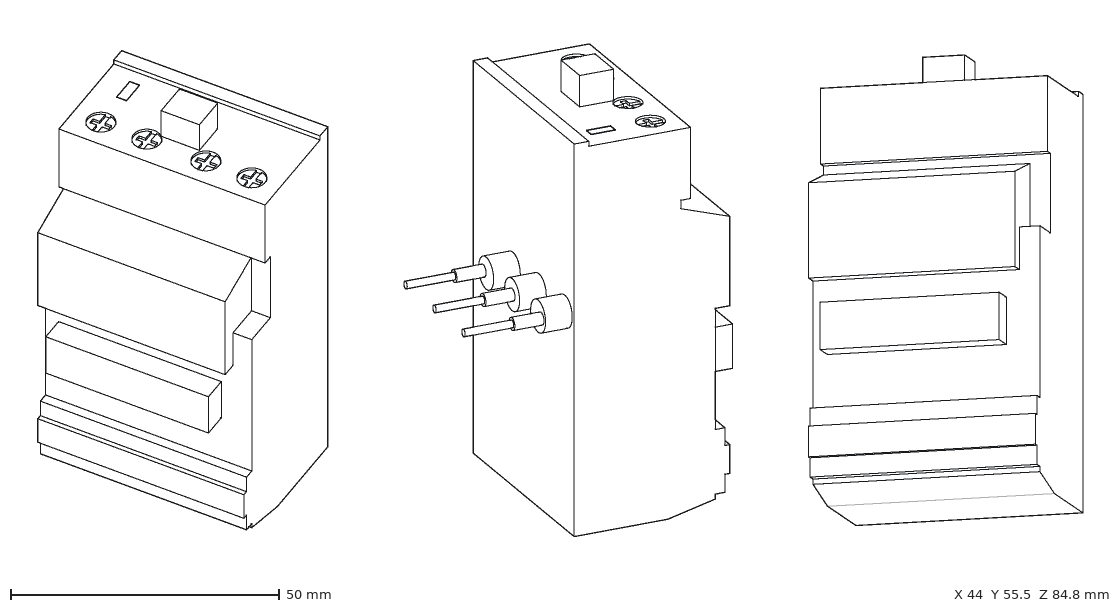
import cadquery as cq


WIDTH = 44.0
LEFT = -WIDTH / 2
OVERALL_DEPTH = 55.5
OVERALL_HEIGHT = 84.85

LIP_DEPTH = 3.0
HEAD_DEPTH = 24.0
NECK_DEPTH = 22.0
BODY_DEPTH = 29.1
STEP_DEPTH = 31.1
NOSE_DEPTH = 32.1
CHIN_DEPTH = 19.3

LIP_TOP = 79.5
DECK = 78.5
HEAD_BOTTOM = 64.1
HOOD_BACK_TOP = 62.4
HOOD_FRONT_TOP = 59.0
HOOD_BOTTOM = 40.9
SHOULDER = 49.0
STEP_TOP = 16.4
RIB_TOP = 12.8
RIB_BOTTOM = 6.95
STEP_BOTTOM = 3.3
CHIN_TOP = 2.3

HOOD_WIDTH = 40.0

BLOCK_LEFT = LEFT + 2.8
BLOCK_WIDTH = 34.7
BLOCK_BOTTOM = 26.8
BLOCK_HEIGHT = 9.0
BLOCK_DEPTH = 34.0

BUTTON_LEFT = LEFT + 17.65
BUTTON_WIDTH = 8.15
BUTTON_BACK = 9.5
BUTTON_LENGTH = 7.0

WINDOW_LEFT = LEFT + 5.0
WINDOW_WIDTH = 2.1
WINDOW_BACK = 5.85
WINDOW_LENGTH = 5.0
WINDOW_RECESS = 0.1

SCREW_OFFSETS = (6.3, 16.1)
SCREW_SETBACK = 18.5
SCREW_DIAMETER = 5.6
SCREW_RECESS = 0.5
CROSS_WIDTH = 1.15
CROSS_SPAN = 4.0
CROSS_DEPTH = 0.5

PIN_HEIGHT = 44.1
PIN_CENTER = -6.6
COLLAR_PITCH = 11.3
WIRE_PITCH = 12.6
COLLAR_DIAMETER = 6.5
SLEEVE_DIAMETER = 2.5
WIRE_DIAMETER = 1.5
COLLAR_END = 5.5
SLEEVE_END = 11.5
WIRE_END = OVERALL_DEPTH - BLOCK_DEPTH


def side_extrusion(points, width):
    """Extrude a (depth, height) outline along X from the left side."""
    outline = [(-depth, height) for depth, height in points]
    return cq.Workplane("YZ", origin=(LEFT, 0, 0)).polyline(outline).close().extrude(width)


def block(left, width, back, length, bottom, height):
    """Box placed by its left side, its setback from the back face and its bottom."""
    corner = (left, -back - length, bottom)
    return cq.Workplane("XY", origin=corner).box(width, length, height, centered=False)


def make_housing():
    return side_extrusion(
        [
            (0, 0),
            (0, LIP_TOP),
            (LIP_DEPTH, LIP_TOP),
            (LIP_DEPTH, DECK),
            (HEAD_DEPTH, DECK),
            (HEAD_DEPTH, HEAD_BOTTOM),
            (NECK_DEPTH, HEAD_BOTTOM),
            (NECK_DEPTH, SHOULDER),
            (BODY_DEPTH, SHOULDER),
            (BODY_DEPTH, STEP_TOP),
            (STEP_DEPTH, STEP_TOP),
            (STEP_DEPTH, RIB_TOP),
            (NOSE_DEPTH, RIB_TOP),
            (NOSE_DEPTH, RIB_BOTTOM),
            (STEP_DEPTH, RIB_BOTTOM),
            (STEP_DEPTH, STEP_BOTTOM),
            (BODY_DEPTH, STEP_BOTTOM),
            (BODY_DEPTH, CHIN_TOP),
            (CHIN_DEPTH, 0),
        ],
        WIDTH,
    )


def make_hood():
    return side_extrusion(
        [
            (NECK_DEPTH, HOOD_BOTTOM),
            (NECK_DEPTH, HOOD_BACK_TOP),
            (NOSE_DEPTH, HOOD_FRONT_TOP),
            (NOSE_DEPTH, HOOD_BOTTOM),
        ],
        HOOD_WIDTH,
    )


def make_front_block():
    length = BLOCK_DEPTH - BODY_DEPTH
    return block(BLOCK_LEFT, BLOCK_WIDTH, BODY_DEPTH, length, BLOCK_BOTTOM, BLOCK_HEIGHT)


def make_button():
    height = OVERALL_HEIGHT - DECK
    return block(BUTTON_LEFT, BUTTON_WIDTH, BUTTON_BACK, BUTTON_LENGTH, DECK, height)


def make_window():
    bottom = DECK - WINDOW_RECESS
    return block(WINDOW_LEFT, WINDOW_WIDTH, WINDOW_BACK, WINDOW_LENGTH, bottom, WINDOW_RECESS)


def make_screw_recess(x):
    """Round recess with a cross slot in its floor; one slot arm spans the full circle."""
    floor = cq.Workplane("XY", origin=(x, -SCREW_SETBACK, DECK - SCREW_RECESS))
    recess = floor.circle(SCREW_DIAMETER / 2).extrude(SCREW_RECESS)
    disc = floor.circle(SCREW_DIAMETER / 2).extrude(-CROSS_DEPTH)
    long_slot = floor.rect(CROSS_WIDTH, SCREW_DIAMETER).extrude(-CROSS_DEPTH).intersect(disc)
    short_slot = floor.rect(CROSS_SPAN, CROSS_WIDTH).extrude(-CROSS_DEPTH)
    return recess.union(long_slot).union(short_slot)


def back_cylinder(x, diameter, start, end):
    """Cylinder along Y between two distances behind the back face."""
    base = cq.Workplane("XZ", origin=(x, start, PIN_HEIGHT))
    return base.circle(diameter / 2).extrude(start - end)


def make_pin(position):
    """Pin at position -1, 0 or 1; the outer wires sit off-centre on their collars."""
    collar_x = PIN_CENTER + position * COLLAR_PITCH
    wire_x = PIN_CENTER + position * WIRE_PITCH
    collar = back_cylinder(collar_x, COLLAR_DIAMETER, 0, COLLAR_END)
    sleeve = back_cylinder(wire_x, SLEEVE_DIAMETER, COLLAR_END, SLEEVE_END)
    wire = back_cylinder(wire_x, WIRE_DIAMETER, SLEEVE_END, WIRE_END)
    return collar.union(sleeve).union(wire)


result = make_housing().union(make_hood()).union(make_front_block()).union(make_button())

for pin_position in (-1, 0, 1):
    result = result.union(make_pin(pin_position))

result = result.cut(make_window())
for offset in SCREW_OFFSETS:
    for screw_x in (-offset, offset):
        result = result.cut(make_screw_recess(screw_x))